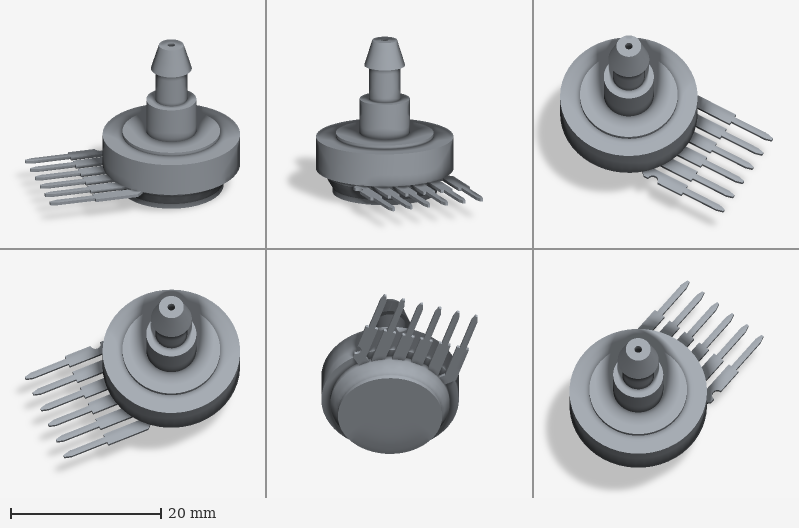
import cadquery as cq
import math

lip_radius = 6.95
lip_top = 0.7
collar_radius = 7.95
cone_top = 2.43
collar_top = 3.17
drum_radius = 9.15
drum_top = 7.6
disc_radius = 6.5
disc_top = 8.1

port_base_radius = 3.35
port_base_top = 12.82
stem_radius = 2.12
stem_top = 17.43
barb_root_radius = 2.73
barb_tip_radius = 1.65
overall_height = 20.9

bore_radius = 0.5
bore_floor = disc_top
drill_point_angle = 118
drill_point_height = bore_radius / math.tan(math.radians(drill_point_angle / 2))

overall_length = 27.58
lead_count = 6
lead_pitch = 2.55
lead_thickness = 0.4
lead_bottom = 2.6
blade_width = 1.65
pin_width = 0.83
tip_width = 0.33
tip_length = 0.95
shoulder_y = -12.33
tip_y = drum_radius - overall_length

outer_bend_y = -6.5
inner_bend_y = -6.98
notch_radius = 0.72
notch_y = -7.9


def make_housing():
    """Revolve the stepped half section about Z and drill the bore down from the port tip."""
    half_section = [
        (0, 0),
        (lip_radius, 0),
        (lip_radius, lip_top),
        (collar_radius, cone_top),
        (collar_radius, collar_top),
        (drum_radius, collar_top),
        (drum_radius, drum_top),
        (disc_radius, drum_top),
        (disc_radius, disc_top),
        (port_base_radius, disc_top),
        (port_base_radius, port_base_top),
        (stem_radius, port_base_top),
        (stem_radius, stem_top),
        (barb_root_radius, stem_top),
        (barb_tip_radius, overall_height),
        (0, overall_height),
    ]
    solid = cq.Workplane("XZ").polyline(half_section).close().revolve(360, (0, 0), (0, 1))
    bore_profile = [
        (0, bore_floor - drill_point_height),
        (bore_radius, bore_floor),
        (bore_radius, overall_height),
        (0, overall_height),
    ]
    bore = cq.Workplane("XZ").polyline(bore_profile).close().revolve(360, (0, 0), (0, 1))
    return solid.cut(bore)


def extrude_lead(outline):
    """Extrude a flat outline to the lead thickness at the lead height."""
    base = cq.Workplane("XY").workplane(offset=lead_bottom)
    return base.polyline(outline).close().extrude(lead_thickness)


def pin_outline():
    """Points around the shoulders, narrow pin and tapered tip, from left to right, centred on X = 0."""
    left_half = [
        (-blade_width / 2, shoulder_y),
        (-pin_width / 2, shoulder_y),
        (-pin_width / 2, tip_y + tip_length),
        (-tip_width / 2, tip_y),
    ]
    right_half = [(-x, y) for x, y in reversed(left_half)]
    return left_half + right_half


def trim_to_collar(lead):
    """End the lead flush on the collar wall."""
    collar = cq.Workplane("XY").circle(collar_radius).extrude(collar_top)
    return lead.cut(collar)


def make_straight_lead(x):
    """Lead whose blade runs straight to the collar."""
    blade_end_y = -collar_radius / 2
    outline = pin_outline() + [(blade_width / 2, blade_end_y), (-blade_width / 2, blade_end_y)]
    return trim_to_collar(extrude_lead(outline).translate((x, 0, 0)))


def make_bent_lead(x):
    """Leftmost lead, whose blade turns 45 degrees towards +X to meet the collar."""
    bend_run = collar_radius / 2
    blade = [
        (blade_width / 2, inner_bend_y),
        (blade_width / 2 + bend_run, inner_bend_y + bend_run),
        (-blade_width / 2 + bend_run, outer_bend_y + bend_run),
        (-blade_width / 2, outer_bend_y),
    ]
    return trim_to_collar(extrude_lead(pin_outline() + blade).translate((x, 0, 0)))


def cut_notch(lead, x):
    """Cut the half-round notch centred on the outer edge of the blade."""
    notch = (
        cq.Workplane("XY")
        .workplane(offset=lead_bottom)
        .center(x - blade_width / 2, notch_y)
        .circle(notch_radius)
        .extrude(lead_thickness)
    )
    return lead.cut(notch)


first_lead_x = -lead_pitch * (lead_count - 1) / 2

housing = make_housing()

bent_lead = make_bent_lead(first_lead_x)
notched_lead = cut_notch(bent_lead, first_lead_x)
mirrored_lead = bent_lead.mirror("YZ")

straight_leads = []
for position in range(1, lead_count - 1):
    straight_leads.append(make_straight_lead(first_lead_x + position * lead_pitch))

result = cq.Compound.makeCompound(
    [
        housing.val(),
        notched_lead.val(),
        *[lead.val() for lead in straight_leads],
        mirrored_lead.val(),
    ]
)